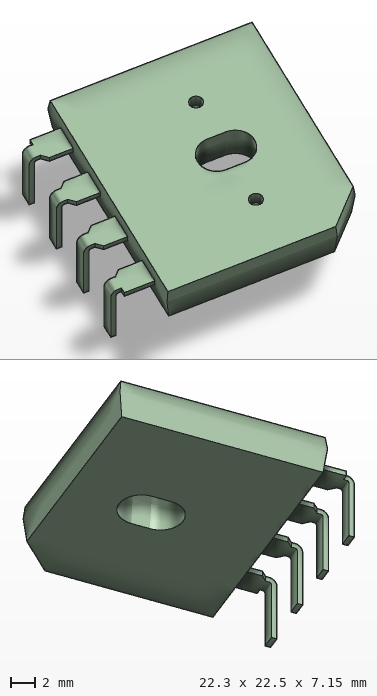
import cadquery as cq
import math

body_width = 22.3
body_length = 18.76
upper_height = 1.22
lower_height = 2.32
draft_angle = 7.0
corner_cut = 3.2

slot_width = 3.5
slot_length = 5.2
slot_y = 1.46
mark_diameter = 1.22
mark_floor_diameter = 0.85
mark_depth = 1.0
mark_spacing = 11.2

total_length = 22.5
total_height = 7.15
lead_count = 4
lead_pitch = 5.08
lead_thickness = 0.5
lead_top = 0.18
lead_width = 2.36
pin_width = 1.28
bend_inner_radius = 0.22
taper_start = 2.15
shoulder_reach = 2.77
lead_embed = 0.9

body_front = -body_length / 2
pin_front = body_front - (total_length - body_length)
pin_bottom = upper_height - total_height
bend_outer_radius = bend_inner_radius + lead_thickness
bend_y = pin_front + bend_outer_radius
bend_z = lead_top - bend_outer_radius
shoulder_width = (lead_width - pin_width) / 2


def body_half(height):
    """Drafted half of the body, from the parting plane to the signed height."""
    right = body_width / 2
    back = body_length / 2
    outline = [
        (-right, body_front),
        (right, body_front),
        (right, back - corner_cut),
        (right - corner_cut, back),
        (-right, back),
    ]
    return cq.Workplane("XY").polyline(outline).close().extrude(height, taper=draft_angle)


def slot_half(height, taper):
    """Half of the round-ended mounting slot, from the parting plane to the signed height."""
    return (
        cq.Workplane("XY", origin=(0, slot_y, 0))
        .slot2D(slot_length, slot_width, 90)
        .extrude(height, taper=taper)
    )


def ejector_mark(x):
    """Blind round recess that narrows towards its floor."""
    taper = math.degrees(math.atan((mark_diameter - mark_floor_diameter) / 2 / mark_depth))
    return (
        cq.Workplane("XY", origin=(x, slot_y, upper_height))
        .circle(mark_diameter / 2)
        .extrude(-mark_depth, taper=taper)
    )


def lead_blade(square_sides):
    """Flat wide part of a lead; each side (-1 or +1) ends square or in a 45 degree taper."""
    embedded_y = body_front + lead_embed
    taper_y = body_front - taper_start
    taper_end_y = taper_y - shoulder_width
    shoulder_y = body_front - shoulder_reach

    def side_points(side):
        edge = side * lead_width / 2
        neck = side * pin_width / 2
        if side in square_sides:
            corner = [(edge, shoulder_y), (neck, shoulder_y)]
        else:
            corner = [(edge, taper_y), (neck, taper_end_y)]
        return [(edge, embedded_y)] + corner + [(neck, bend_y)]

    outline = side_points(-1) + side_points(1)[::-1]
    return (
        cq.Workplane("XY", origin=(0, 0, lead_top))
        .polyline(outline)
        .close()
        .extrude(-lead_thickness)
    )


def lead_pin():
    """Quarter-round bend and the straight pin hanging below it."""
    diagonal = math.sqrt(0.5)
    outer_mid = (bend_y - bend_outer_radius * diagonal, bend_z + bend_outer_radius * diagonal)
    inner_mid = (bend_y - bend_inner_radius * diagonal, bend_z + bend_inner_radius * diagonal)
    pin_back = pin_front + lead_thickness
    return (
        cq.Workplane("YZ")
        .moveTo(bend_y, lead_top)
        .threePointArc(outer_mid, (pin_front, bend_z))
        .lineTo(pin_front, pin_bottom)
        .lineTo(pin_back, pin_bottom)
        .lineTo(pin_back, bend_z)
        .threePointArc(inner_mid, (bend_y, lead_top - lead_thickness))
        .close()
        .extrude(pin_width / 2, both=True)
    )


def lead(index):
    """Lead in its place in the row; the end leads keep a square outer shoulder."""
    square_sides = []
    if index == 0:
        square_sides = [-1]
    elif index == lead_count - 1:
        square_sides = [1]
    x = (index - (lead_count - 1) / 2) * lead_pitch
    return lead_blade(square_sides).union(lead_pin()).translate((x, 0, 0))


result = body_half(upper_height).union(body_half(-lower_height))
result = result.cut(slot_half(upper_height, 0))
result = result.cut(slot_half(-lower_height, -draft_angle))

for mark_x in (-mark_spacing / 2, mark_spacing / 2):
    result = result.cut(ejector_mark(mark_x))

for lead_index in range(lead_count):
    result = result.union(lead(lead_index))